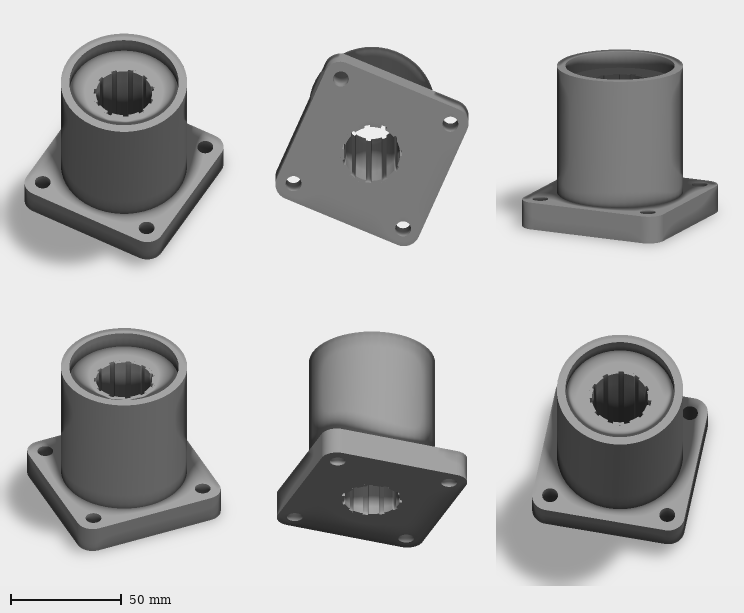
import cadquery as cq

TOTAL_HEIGHT = 71.4
FLANGE_SIDE = 69.85
FLANGE_THICKNESS = 12.5
CORNER_RADIUS = 7.3
TUBE_DIAMETER = 57.15

HOLE_SPACING = 53.9
HOLE_DIAMETER = 7.15

POCKET_DIAMETER = 49.4
POCKET_DEPTH = 7.5
POCKET_FLOOR_Z = TOTAL_HEIGHT - POCKET_DEPTH

SLEEVE_OUTER_DIAMETER = 28.5
SLEEVE_INNER_DIAMETER = 25.4
GROOVE_COUNT = 11
GROOVE_WIDTH = 2.5
GROOVE_FLOOR_RADIUS = 13.65
SPLIT_ANGLE = -90.0


def cylinder(diameter, height, base_z=0.0):
    """Upright cylinder on the part axis."""
    return cq.Workplane("XY").workplane(offset=base_z).circle(diameter / 2).extrude(height)


def make_housing():
    flange = (
        cq.Workplane("XY")
        .rect(FLANGE_SIDE, FLANGE_SIDE)
        .extrude(FLANGE_THICKNESS)
        .edges("|Z")
        .fillet(CORNER_RADIUS)
    )
    mounting_holes = (
        cq.Workplane("XY")
        .rect(HOLE_SPACING, HOLE_SPACING, forConstruction=True)
        .vertices()
        .circle(HOLE_DIAMETER / 2)
        .extrude(FLANGE_THICKNESS)
    )
    tube = cylinder(TUBE_DIAMETER, TOTAL_HEIGHT)
    pocket = cylinder(POCKET_DIAMETER, POCKET_DEPTH, POCKET_FLOOR_Z)
    bore = cylinder(SLEEVE_OUTER_DIAMETER, POCKET_FLOOR_Z)
    return flange.cut(mounting_holes).union(tube).cut(pocket).cut(bore)


def slot_cutter(floor_radius, angle):
    """Straight-sided bar from the axis out to the given radius, turned to the given angle."""
    return (
        cq.Workplane("XY")
        .rect(floor_radius, GROOVE_WIDTH)
        .extrude(POCKET_FLOOR_Z)
        .translate((floor_radius / 2, 0, 0))
        .rotate((0, 0, 0), (0, 0, 1), angle)
    )


def make_sleeve():
    sleeve = cylinder(SLEEVE_OUTER_DIAMETER, POCKET_FLOOR_Z)
    sleeve = sleeve.cut(cylinder(SLEEVE_INNER_DIAMETER, POCKET_FLOOR_Z))
    sleeve = sleeve.cut(slot_cutter(SLEEVE_OUTER_DIAMETER, SPLIT_ANGLE))
    for index in range(1, GROOVE_COUNT):
        groove_angle = SPLIT_ANGLE + index * 360 / GROOVE_COUNT
        sleeve = sleeve.cut(slot_cutter(GROOVE_FLOOR_RADIUS, groove_angle))
    return sleeve


housing = make_housing()
sleeve = make_sleeve()

result = cq.Compound.makeCompound([housing.val(), sleeve.val()])